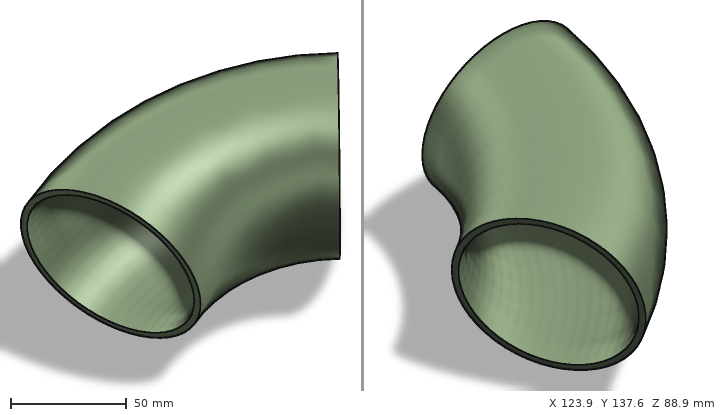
import cadquery as cq
import math

overall_length = 137.6
outer_diameter = 88.9
wall_thickness = 3.2
bend_angle = 60.0

outer_radius = outer_diameter / 2
inner_radius = outer_radius - wall_thickness

bend_radius = overall_length / math.sin(math.radians(bend_angle)) - outer_radius

axis_start = (bend_radius, 0)
axis_end = (bend_radius, -1)
result = (
    cq.Workplane("XZ")
    .circle(outer_radius)
    .circle(inner_radius)
    .revolve(bend_angle, axis_start, axis_end)
)